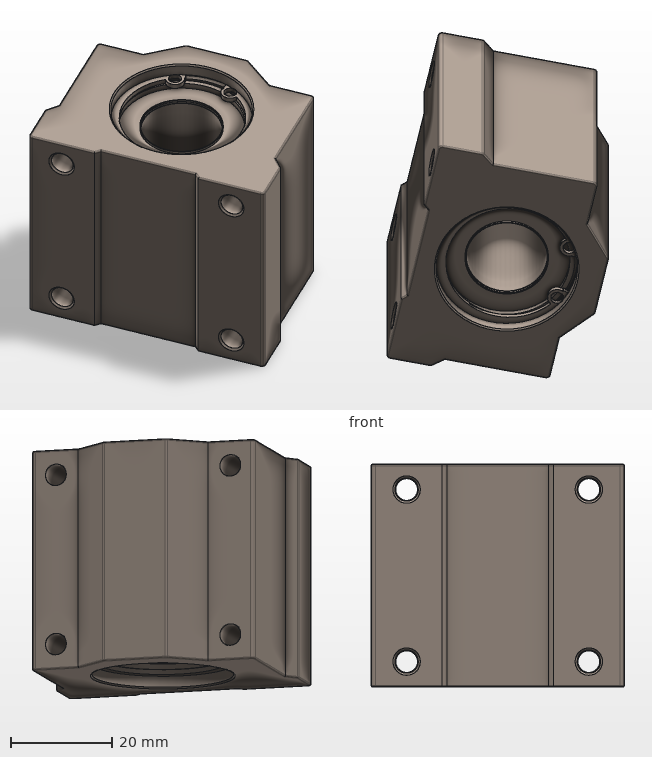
import cadquery as cq
import math

LENGTH = 44.0
BASE_HALF_WIDTH = 25.0
BODY_HALF_WIDTH = 23.0
CROWN_HALF_WIDTH = 6.5
SHOULDER_HALF_WIDTH = 13.4
BASE_Y = -19.0
CROWN_Y = 19.2
SHOULDER_Y = 13.5
FLANGE_TOP_Y = -7.6
FLANGE_SIDE_Y = -10.0
RELIEF_HALF_WIDTH = 11.0
RELIEF_DEPTH = 1.0
CORNER_RADIUS = 0.8
END_RADIUS = 0.3

HOLE_SPACING_X = 36.0
HOLE_SPACING_Z = 34.0
THREAD_DIAMETER = 4.6
THREAD_DEPTH = 12.0
CLEARANCE_DIAMETER = 4.3
HOLE_MOUTH_DIAMETER = 5.4

BEARING_DIAMETER = 28.0
BEARING_LENGTH = 37.0
BEARING_CHAMFER = 0.5
SEAL_DIAMETER = 25.0
SEAL_RECESS = 1.2
SHAFT_DIAMETER = 16.0
SLEEVE_DIAMETER = 16.5
SLEEVE_HEIGHT = 0.5
SLEEVE_MOUTH_DIAMETER = 16.2
SLEEVE_MOUTH_DEPTH = 0.75

BORE_CHAMFER = 0.3

RING_DIAMETER = 30.0
RING_THICKNESS = 1.0
RING_INNER_DIAMETER = 25.0
RING_INNER_OFFSET = 0.5
LUG_DIAMETER = 3.8
LUG_HOLE_DIAMETER = 2.5
LUG_CENTRE_RADIUS = 12.85
LUG_ANGLE = 27.2
RING_GAP_ANGLE = 18.0

HALF_LENGTH = LENGTH / 2
BEARING_END = BEARING_LENGTH / 2


def cylinder(diameter, z_start, z_end):
    """Cylinder on the bore axis between two heights."""
    return cq.Workplane("XY", origin=(0, 0, z_start)).circle(diameter / 2).extrude(z_end - z_start)


def block():
    """Housing block with rounded outer corners and rounded ends."""
    right_half = [
        (RELIEF_HALF_WIDTH - RELIEF_DEPTH, BASE_Y + RELIEF_DEPTH),
        (RELIEF_HALF_WIDTH, BASE_Y),
        (BASE_HALF_WIDTH, BASE_Y),
        (BASE_HALF_WIDTH, FLANGE_SIDE_Y),
        (BODY_HALF_WIDTH, FLANGE_TOP_Y),
        (BODY_HALF_WIDTH, SHOULDER_Y),
        (SHOULDER_HALF_WIDTH, SHOULDER_Y),
        (CROWN_HALF_WIDTH, CROWN_Y),
    ]
    left_half = [(-x, y) for x, y in reversed(right_half)]
    body = (
        cq.Workplane("XY", origin=(0, 0, -HALF_LENGTH))
        .polyline(right_half + left_half)
        .close()
        .extrude(LENGTH)
    )
    for x, y in [
        (BASE_HALF_WIDTH, BASE_Y),
        (BASE_HALF_WIDTH, FLANGE_SIDE_Y),
        (BODY_HALF_WIDTH, SHOULDER_Y),
        (CROWN_HALF_WIDTH, CROWN_Y),
    ]:
        for side in (-1, 1):
            corner = cq.selectors.NearestToPointSelector((side * x, y, 0))
            body = body.edges("|Z").edges(corner).fillet(CORNER_RADIUS)
    return body.faces("<Z or >Z").fillet(END_RADIUS)


def mounting_hole(x, z):
    """Chamfered threaded hole from the base that continues as a clearance hole."""
    base_plane = cq.Plane(origin=(x, BASE_Y, z), xDir=(1, 0, 0), normal=(0, 1, 0))
    mouth_depth = (HOLE_MOUTH_DIAMETER - THREAD_DIAMETER) / 2
    clearance = cq.Workplane(base_plane).circle(CLEARANCE_DIAMETER / 2).extrude(CROWN_Y - BASE_Y)
    thread = cq.Workplane(base_plane).circle(THREAD_DIAMETER / 2).extrude(THREAD_DEPTH)
    mouth = (
        cq.Workplane(base_plane)
        .circle(HOLE_MOUTH_DIAMETER / 2)
        .workplane(offset=mouth_depth)
        .circle(THREAD_DIAMETER / 2)
        .loft()
    )
    return clearance.union(thread).union(mouth)


def make_housing():
    """Block with the bearing bore, the two ring grooves and the four mounting holes."""
    housing = block().cut(cylinder(BEARING_DIAMETER, -HALF_LENGTH, HALF_LENGTH))
    bore_mouths = cq.selectors.RadiusNthSelector(-1)
    housing = housing.faces("<Z or >Z").edges("%CIRCLE").edges(bore_mouths).chamfer(BORE_CHAMFER)
    ring_groove = cylinder(RING_DIAMETER, BEARING_END, BEARING_END + RING_THICKNESS)
    housing = housing.cut(ring_groove).cut(ring_groove.mirror("XY"))
    for x in (-HOLE_SPACING_X / 2, HOLE_SPACING_X / 2):
        for z in (-HOLE_SPACING_Z / 2, HOLE_SPACING_Z / 2):
            housing = housing.cut(mounting_hole(x, z))
    return housing


def make_bearing():
    """Bearing with a recessed seal at each end, from which the inner sleeve stands out."""
    bearing = cylinder(BEARING_DIAMETER, -BEARING_END, BEARING_END)
    bearing = bearing.faces("<Z or >Z").chamfer(BEARING_CHAMFER)
    bearing = bearing.cut(cylinder(SHAFT_DIAMETER, -BEARING_END, BEARING_END))
    seal_face = BEARING_END - SEAL_RECESS
    sleeve_end = seal_face + SLEEVE_HEIGHT
    sleeve = cylinder(SLEEVE_DIAMETER, seal_face, sleeve_end)
    sleeve_mouth = cylinder(SLEEVE_MOUTH_DIAMETER, sleeve_end - SLEEVE_MOUTH_DEPTH, sleeve_end)
    end_cut = cylinder(SEAL_DIAMETER, seal_face, BEARING_END).cut(sleeve).union(sleeve_mouth)
    return bearing.cut(end_cut).cut(end_cut.mirror("XY"))


def make_ring():
    """Retaining ring at the +Z end: an open tapered band with two drilled lugs."""
    z_start = BEARING_END
    z_end = BEARING_END + RING_THICKNESS
    disc = cylinder(RING_DIAMETER, z_start, z_end)
    inner = cylinder(RING_INNER_DIAMETER, z_start, z_end).translate((0, RING_INNER_OFFSET, 0))
    lug_x = LUG_CENTRE_RADIUS * math.sin(math.radians(LUG_ANGLE))
    lug_y = LUG_CENTRE_RADIUS * math.cos(math.radians(LUG_ANGLE))
    gap_half_width = RING_DIAMETER * math.tan(math.radians(RING_GAP_ANGLE))
    gap = (
        cq.Workplane("XY", origin=(0, 0, z_start))
        .polyline([(0, 0), (gap_half_width, RING_DIAMETER), (-gap_half_width, RING_DIAMETER)])
        .close()
        .extrude(RING_THICKNESS)
    )
    lug_points = [(-lug_x, lug_y), (lug_x, lug_y)]
    layout = cq.Workplane("XY", origin=(0, 0, z_start)).pushPoints(lug_points)
    lugs = layout.circle(LUG_DIAMETER / 2).extrude(RING_THICKNESS).intersect(disc)
    lug_holes = layout.circle(LUG_HOLE_DIAMETER / 2).extrude(RING_THICKNESS)
    return disc.cut(inner).cut(gap).union(lugs).cut(lug_holes)


housing = make_housing()
bearing = make_bearing()
upper_ring = make_ring()
rings = [upper_ring, upper_ring.mirror("XY")]

result = cq.Compound.makeCompound(
    [housing.val(), bearing.val(), *[ring.val() for ring in rings]]
)